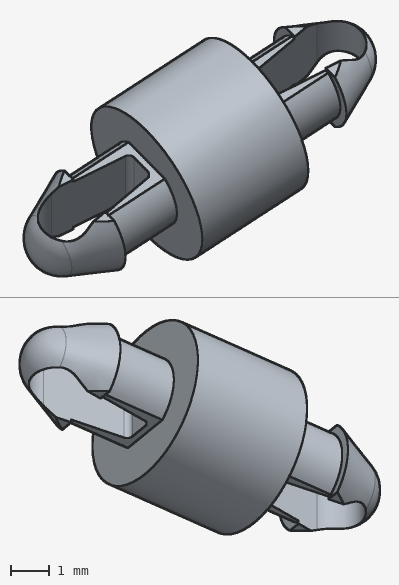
import cadquery as cq
import math

total_length = 11.1
body_diameter = 4.6
body_length = 3.51

shaft_diameter = 2.5
shaft_thickness = 2.0
shaft_length = 1.9
head_base_radius = 1.5
head_thickness = 2.18
tip_radius = 1.0

slot_floor_offset = 0.2
slot_floor_half_width = 0.43
slot_end_radius = 0.74
slot_corner_radius = 0.17
rear_tip_wall = 0.24
front_tip_wall = 0.4

body_end = body_length / 2
head_base = body_end + shaft_length
tip_end = total_length / 2
tip_center = tip_end - tip_radius
slot_floor = body_end + slot_floor_offset


def tangent_point(radius, center_y, x, y):
    """Outer point where a line from (x, y) touches a circle centred on the Y axis."""
    distance = math.hypot(x, y - center_y)
    angle = math.atan2(y - center_y, x) + math.acos(radius / distance)
    return radius * math.cos(angle), center_y + radius * math.sin(angle)


def make_cylinder(diameter, start, length):
    """Cylinder along +Y beginning at the given distance."""
    circle = cq.Workplane("XZ", origin=(0, start, 0)).circle(diameter / 2)
    return circle.extrude(-length)


def flatten(solid, thickness):
    """Cut parallel flats above and below the axis."""
    return solid.intersect(cq.Workplane("XY").box(total_length, 2 * total_length, thickness))


def make_head():
    """Conical barb that runs tangentially into a spherical tip."""
    touch_x, touch_y = tangent_point(tip_radius, tip_center, head_base_radius, head_base)
    mid_angle = (math.atan2(touch_y - tip_center, touch_x) + math.pi / 2) / 2
    arc_middle = (tip_radius * math.cos(mid_angle), tip_center + tip_radius * math.sin(mid_angle))
    profile = (
        cq.Workplane("XY")
        .moveTo(0, head_base)
        .lineTo(head_base_radius, head_base)
        .lineTo(touch_x, touch_y)
        .threePointArc(arc_middle, (0, tip_end))
        .close()
    )
    head = profile.revolve(360, (0, 0, 0), (0, 1, 0))
    return flatten(head, head_thickness)


def make_slot(tip_wall):
    """Slot with a rounded floor, widening into a round end near the tip."""
    end_y = tip_end - tip_wall
    touch_x, touch_y = tangent_point(
        slot_end_radius, end_y - slot_end_radius, slot_floor_half_width, slot_floor
    )
    return (
        cq.Workplane("XY")
        .moveTo(-slot_floor_half_width, slot_floor)
        .lineTo(slot_floor_half_width, slot_floor)
        .lineTo(touch_x, touch_y)
        .threePointArc((0, end_y), (-touch_x, touch_y))
        .close()
        .extrude(head_thickness, both=True)
        .edges("|Z")
        .edges("<Y")
        .fillet(slot_corner_radius)
    )


def make_post(tip_wall):
    """Slotted shaft and head pointing along +Y."""
    shaft = flatten(make_cylinder(shaft_diameter, 0, head_base), shaft_thickness)
    return shaft.union(make_head()).cut(make_slot(tip_wall))


body = make_cylinder(body_diameter, -body_end, body_length)
rear_post = make_post(rear_tip_wall)
front_post = make_post(front_tip_wall).rotate((0, 0, 0), (0, 0, 1), 180)
result = body.union(rear_post).union(front_post)